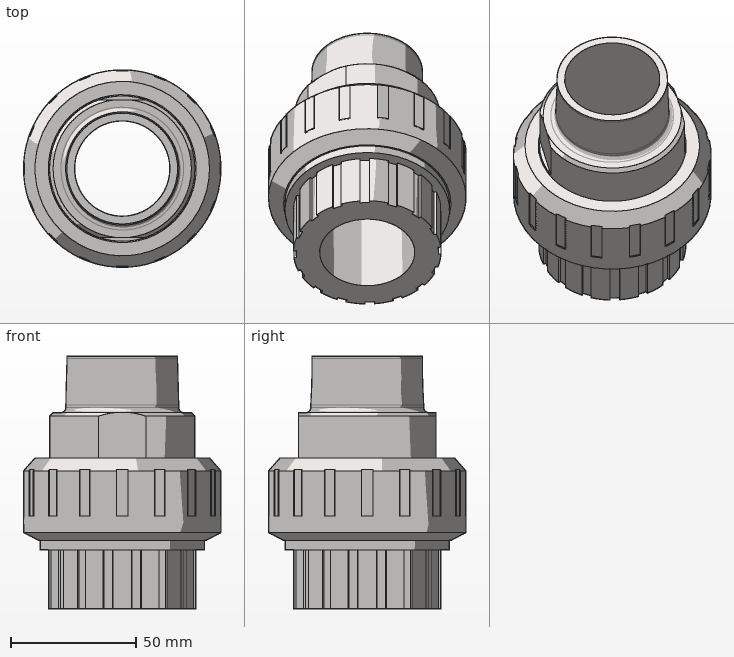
import cadquery as cq
import math


BORE_RADIUS = 38.0 / 2

BARREL_RADIUS = 59.0 / 2
FLUTE_FLOOR_RADIUS = 56.9 / 2
FLUTE_COUNT = 16
FLUTE_PITCH = 360 / FLUTE_COUNT
FLUTE_SHARE = 1 / 3
CUT_CLEARANCE = 1
COLLAR_RADIUS = 65.8 / 2
COLLAR_BOTTOM = 23.6

NUT_RADIUS = 79.0 / 2
NUT_BOTTOM = 27.4
NUT_BOTTOM_RADIUS = 66.9 / 2
NUT_LOWER_EDGE = 30.5
NUT_UPPER_EDGE = 55.1
NUT_TOP = 60.4
NUT_TOP_RADIUS = 69.7 / 2
NUT_MOUTH_RADIUS = 59.1 / 2
NUT_SHOULDER = NUT_UPPER_EDGE
SLOT_COUNT = 16
SLOT_WIDTH = 4.4
SLOT_DEPTH = 0.5
SLOT_BOTTOM = 37.1

JOINT_HEIGHT = (NUT_BOTTOM + NUT_SHOULDER) / 2
NECK_RADIUS = 58.1 / 2
NECK_TOP = 78.5
NECK_CHAMFER = 1.4
FLATS_WIDTH = 54.9
FLATS_BOTTOM = NUT_TOP
ROOT_FILLET = 1.9
SPIGOT_BASE_RADIUS = 45.2 / 2
SPIGOT_TAPER_START = 81.4
SPIGOT_TAPER_END = 100.1
SPIGOT_TIP_RADIUS = 44.2 / 2
SPIGOT_TOP = 101


def bored_tube(radius, bottom, top):
    base = cq.Workplane("XY").workplane(offset=bottom)
    return base.circle(radius).circle(BORE_RADIUS).extrude(top - bottom)


def revolve_about_z(outline):
    return outline.close().revolve(360, (0, 0, 0), (0, 1, 0))


def polar_point(radius, degrees):
    angle = math.radians(degrees)
    return (radius * math.cos(angle), radius * math.sin(angle))


def flute_cutter(middle):
    """Ring sector with radial walls, centred on the angle `middle`."""
    half = FLUTE_PITCH * FLUTE_SHARE / 2
    outer = BARREL_RADIUS + CUT_CLEARANCE
    return (
        cq.Workplane("XY")
        .moveTo(*polar_point(FLUTE_FLOOR_RADIUS, middle - half))
        .lineTo(*polar_point(outer, middle - half))
        .threePointArc(polar_point(outer, middle), polar_point(outer, middle + half))
        .lineTo(*polar_point(FLUTE_FLOOR_RADIUS, middle + half))
        .threePointArc(
            polar_point(FLUTE_FLOOR_RADIUS, middle),
            polar_point(FLUTE_FLOOR_RADIUS, middle - half),
        )
        .close()
        .extrude(COLLAR_BOTTOM)
    )


def make_socket_end():
    barrel = bored_tube(BARREL_RADIUS, 0, COLLAR_BOTTOM)
    for index in range(FLUTE_COUNT):
        barrel = barrel.cut(flute_cutter((index + 0.5) * FLUTE_PITCH))
    return barrel.union(bored_tube(COLLAR_RADIUS, COLLAR_BOTTOM, JOINT_HEIGHT))


def make_union_nut():
    nut = revolve_about_z(
        cq.Workplane("XZ")
        .moveTo(COLLAR_RADIUS, NUT_BOTTOM)
        .lineTo(NUT_BOTTOM_RADIUS, NUT_BOTTOM)
        .lineTo(NUT_RADIUS, NUT_LOWER_EDGE)
        .lineTo(NUT_RADIUS, NUT_UPPER_EDGE)
        .lineTo(NUT_TOP_RADIUS, NUT_TOP)
        .lineTo(NUT_MOUTH_RADIUS, NUT_TOP)
        .lineTo(NUT_MOUTH_RADIUS, NUT_SHOULDER)
        .lineTo(COLLAR_RADIUS, NUT_SHOULDER)
    )
    slot = cq.Workplane("XY").box(
        2 * SLOT_DEPTH, SLOT_WIDTH, NUT_TOP - SLOT_BOTTOM, centered=(True, True, False)
    ).translate((NUT_RADIUS, 0, SLOT_BOTTOM))
    for index in range(SLOT_COUNT):
        nut = nut.cut(slot.rotate((0, 0, 0), (0, 0, 1), index * 360 / SLOT_COUNT))
    return nut


def make_spigot_end():
    fillet_foot = SPIGOT_BASE_RADIUS + ROOT_FILLET
    fillet_top = NECK_TOP + ROOT_FILLET
    fillet_reach = ROOT_FILLET * (1 - math.sqrt(0.5))
    body = revolve_about_z(
        cq.Workplane("XZ")
        .moveTo(BORE_RADIUS, JOINT_HEIGHT)
        .lineTo(COLLAR_RADIUS, JOINT_HEIGHT)
        .lineTo(COLLAR_RADIUS, NUT_SHOULDER)
        .lineTo(NECK_RADIUS, NUT_SHOULDER)
        .lineTo(NECK_RADIUS, NECK_TOP - NECK_CHAMFER)
        .lineTo(NECK_RADIUS - NECK_CHAMFER, NECK_TOP)
        .lineTo(fillet_foot, NECK_TOP)
        .threePointArc(
            (SPIGOT_BASE_RADIUS + fillet_reach, NECK_TOP + fillet_reach),
            (SPIGOT_BASE_RADIUS, fillet_top),
        )
        .lineTo(SPIGOT_BASE_RADIUS, SPIGOT_TAPER_START)
        .lineTo(SPIGOT_TIP_RADIUS, SPIGOT_TAPER_END)
        .lineTo(SPIGOT_TIP_RADIUS, SPIGOT_TOP)
        .lineTo(BORE_RADIUS, SPIGOT_TOP)
    )
    flat_depth = NECK_RADIUS - FLATS_WIDTH / 2
    for side in (-1, 1):
        cutter = cq.Workplane("XY").box(
            2 * NECK_RADIUS, 2 * flat_depth, NECK_TOP - FLATS_BOTTOM, centered=(True, True, False)
        ).translate((0, side * (FLATS_WIDTH / 2 + flat_depth), FLATS_BOTTOM))
        body = body.cut(cutter)
    return body


socket_end = make_socket_end()
union_nut = make_union_nut()
spigot_end = make_spigot_end()

result = cq.Compound.makeCompound([socket_end.val(), union_nut.val(), spigot_end.val()])